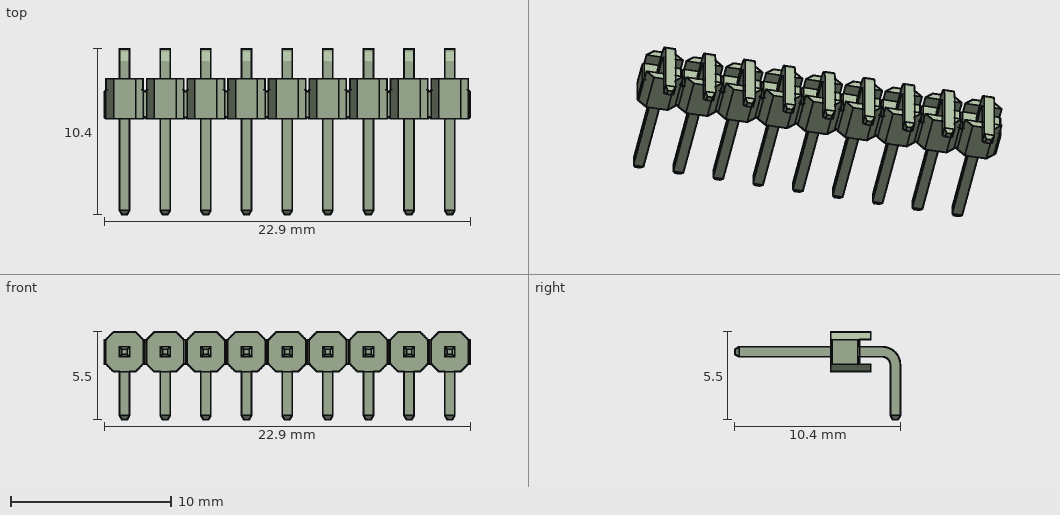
import cadquery as cq


row_length = 22.85
pin_count = 9
pitch = row_length / pin_count
pin_positions = [(i - (pin_count - 1) / 2) * pitch for i in range(pin_count)]

block_width = 2.33
block_height = 2.5
block_depth = 2.51
block_chamfer = 0.48
slot_depth = 0.7
flat_height = block_height - 2 * block_chamfer
groove_depth = 0.11
middle_depth = block_depth - slot_depth

pin_width = 0.65
bend_inner_radius = 0.5
front_reach = 6.0
back_reach = 1.85
tail_drop = 4.25
tip_length = 0.27
tip_width = 0.32


def rear_slot():
    """Slot along the whole back of the row, as tall as the flat block sides."""
    return cq.Workplane("XY").box(row_length, slot_depth, flat_height).translate(
        (0, block_depth - slot_depth / 2, 0)
    )


def block(x):
    """Octagonal block around one pin."""
    return (
        cq.Workplane("XY")
        .box(block_width, block_depth, block_height)
        .edges("|Y")
        .chamfer(block_chamfer)
        .translate((x, block_depth / 2, 0))
    )


def middle_section(x):
    """Full-pitch middle of one block; its slanted corners form V grooves with the neighbours."""
    half_face = block_width / 2
    half_pitch = pitch / 2
    outline = [
        (-half_face, 0),
        (half_face, 0),
        (half_pitch, groove_depth),
        (half_pitch, middle_depth - groove_depth),
        (half_face, middle_depth),
        (-half_face, middle_depth),
        (-half_pitch, middle_depth - groove_depth),
        (-half_pitch, groove_depth),
    ]
    return (
        cq.Workplane("XY", origin=(x, 0, -flat_height / 2))
        .polyline(outline)
        .close()
        .extrude(flat_height)
    )


def pin_hole(x):
    """Square passage for one pin through the full depth of the housing."""
    return cq.Workplane("XY").box(pin_width, block_depth, pin_width).translate(
        (x, block_depth / 2, 0)
    )


def make_housing():
    body = cq.Workplane("XY")
    for x in pin_positions:
        body = body.union(block(x).cut(rear_slot()))
        body = body.union(middle_section(x))
    for x in pin_positions:
        body = body.cut(pin_hole(x))
    return body


def tapered_tip(plane):
    """Truncated pyramid that grows from the pin section along the plane normal."""
    return (
        cq.Workplane(plane)
        .rect(pin_width, pin_width)
        .workplane(offset=tip_length)
        .rect(tip_width, tip_width)
        .loft(ruled=True)
    )


def make_pin(x):
    """Square wire bent down through a right angle, with a tapered tip at each end."""
    half = pin_width / 2
    shank_start = -front_reach + tip_length
    tail_axis = block_depth + back_reach - half
    tail_end = -tail_drop + tip_length
    bend_radius = bend_inner_radius + half

    path = (
        cq.Workplane("YZ", origin=(x, 0, 0))
        .moveTo(shank_start, 0)
        .lineTo(tail_axis - bend_radius, 0)
        .radiusArc((tail_axis, -bend_radius), bend_radius)
        .lineTo(tail_axis, tail_end)
    )
    front_plane = cq.Plane(origin=(x, shank_start, 0), xDir=(1, 0, 0), normal=(0, -1, 0))
    tail_plane = cq.Plane(origin=(x, tail_axis, tail_end), xDir=(1, 0, 0), normal=(0, 0, -1))
    wire = cq.Workplane(front_plane).rect(pin_width, pin_width).sweep(path)
    return wire.union(tapered_tip(front_plane)).union(tapered_tip(tail_plane))


housing = make_housing()
pins = [make_pin(x) for x in pin_positions]

result = cq.Compound.makeCompound([housing.solids().val(), *[pin.solids().val() for pin in pins]])